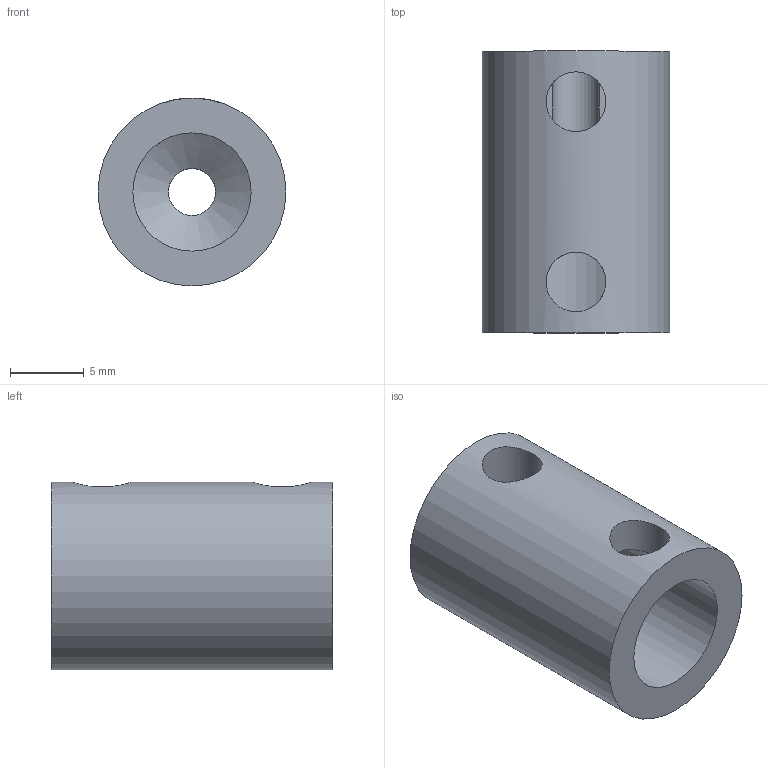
import cadquery as cq
import math

outer_diameter = 12.7
length = 19.05

wide_bore_diameter = 8.0
narrow_bore_diameter = 3.175
wide_bore_depth = length / 2
drill_point_angle = 118.0

screw_hole_diameter = 4.04
screw_hole_end_distance = 3.43

outer_radius = outer_diameter / 2
wide_radius = wide_bore_diameter / 2
narrow_radius = narrow_bore_diameter / 2
front_y = -length / 2
back_y = length / 2
cone_start_y = front_y + wide_bore_depth
cone_length = (wide_radius - narrow_radius) / math.tan(math.radians(drill_point_angle / 2))
cone_end_y = cone_start_y + cone_length


def make_sleeve():
    """Revolve the wall section, including the stepped bore, about the Y axis."""
    return (
        cq.Workplane("XY")
        .moveTo(wide_radius, front_y)
        .lineTo(outer_radius, front_y)
        .lineTo(outer_radius, back_y)
        .lineTo(narrow_radius, back_y)
        .lineTo(narrow_radius, cone_end_y)
        .lineTo(wide_radius, cone_start_y)
        .close()
        .revolve(360, (0, 0, 0), (0, 1, 0))
    )


def make_screw_hole(y):
    """Vertical cylinder from the bore axis up to the top of the sleeve."""
    return (
        cq.Workplane("XY")
        .center(0, y)
        .circle(screw_hole_diameter / 2)
        .extrude(outer_radius)
    )


result = make_sleeve()
for hole_y in (front_y + screw_hole_end_distance, back_y - screw_hole_end_distance):
    result = result.cut(make_screw_hole(hole_y))